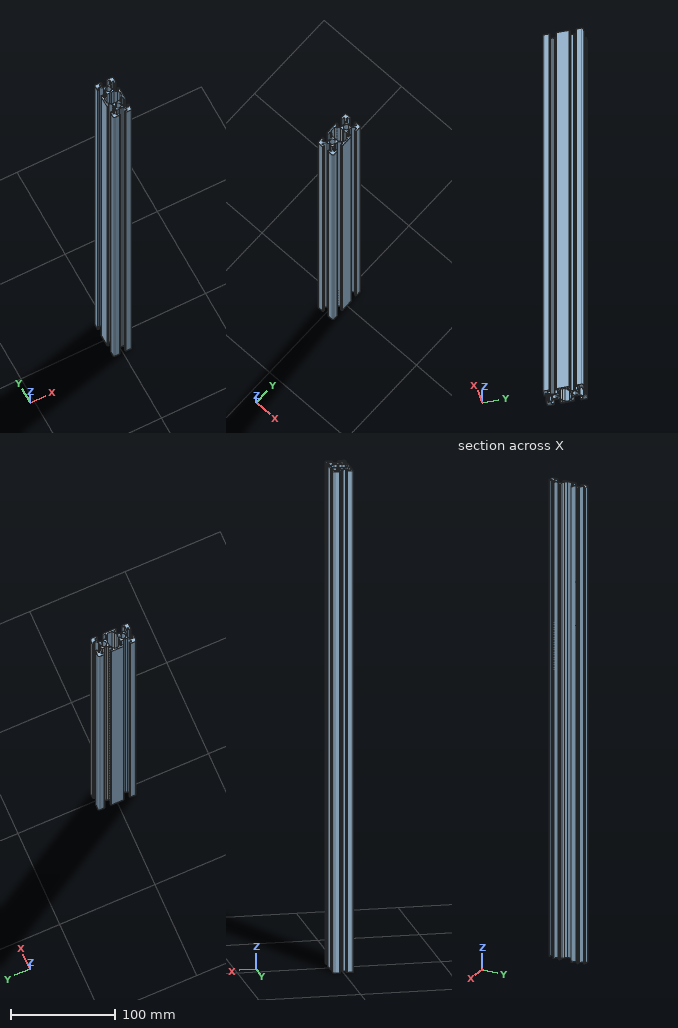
import cadquery as cq
MODULE = 20.0
WIDTH = MODULE
DEPTH = 2 * MODULE
LENGTH = 500.0
CORNER_RADIUS = 1.5

REBATE_WIDTH = 7.3
REBATE_DEPTH = 0.5
OPENING_WIDTH = 5.95
LIP_THICKNESS = 1.8
CAVITY_WIDTH = 11.3
CAVITY_WALL_DEPTH = 3.1
SLOT_DEPTH = 6.1
FLOOR_WIDTH = 6.3

GROOVE_WIDTH = 1.9
GROOVE_DEPTH = 0.54

CORE_BORE = 5.47

CHAMBER_SIZE_X = 16.66
CHAMBER_SIZE_Y = 11.4
CHAMBER_END_WALL = 7.55
CHAMBER_SIDE_WALL = 4.55


def bar_blank():
    return (
        cq.Workplane("XY")
        .rect(WIDTH, DEPTH)
        .extrude(LENGTH)
        .edges("|Z")
        .fillet(CORNER_RADIUS)
    )


def slot_cutter(center_y, angle):
    """T-slot entering a module from the face that lies `angle` degrees from +X."""
    face = MODULE / 2
    floor = face - SLOT_DEPTH
    upper_half = [
        (face, REBATE_WIDTH / 2),
        (face - REBATE_DEPTH, REBATE_WIDTH / 2),
        (face - REBATE_DEPTH, OPENING_WIDTH / 2),
        (face - LIP_THICKNESS, OPENING_WIDTH / 2),
        (face - LIP_THICKNESS, CAVITY_WIDTH / 2),
        (face - CAVITY_WALL_DEPTH, CAVITY_WIDTH / 2),
        (floor, FLOOR_WIDTH / 2),
        (floor, GROOVE_WIDTH / 2),
    ]
    groove_bottom = (floor - GROOVE_DEPTH, 0)
    lower_half = [(x, -y) for x, y in reversed(upper_half)]
    return (
        cq.Workplane("XY")
        .polyline(upper_half + [groove_bottom] + lower_half)
        .close()
        .extrude(LENGTH)
        .rotate((0, 0, 0), (0, 0, 1), angle)
        .translate((0, center_y, 0))
    )


def core_bores():
    return (
        cq.Workplane("XY")
        .pushPoints([(0, MODULE / 2), (0, -MODULE / 2)])
        .circle(CORE_BORE / 2)
        .extrude(LENGTH)
    )


def central_chamber():
    """Chamber with bevelled corners and a V-groove in each wall that faces along Y."""
    end_y = CHAMBER_SIZE_Y / 2
    right_end = [
        (CHAMBER_SIZE_X / 2, CHAMBER_SIDE_WALL / 2),
        (CHAMBER_END_WALL / 2, end_y),
        (GROOVE_WIDTH / 2, end_y),
    ]
    groove_bottom = (0, end_y + GROOVE_DEPTH)
    left_end = [(-x, y) for x, y in reversed(right_end)]
    back_half = right_end + [groove_bottom] + left_end
    front_half = [(-x, -y) for x, y in back_half]
    return cq.Workplane("XY").polyline(back_half + front_half).close().extrude(LENGTH)


result = bar_blank()
for side in (1, -1):
    for slot_angle in (0, 180, side * 90):
        result = result.cut(slot_cutter(side * MODULE / 2, slot_angle))
result = result.cut(core_bores()).cut(central_chamber())